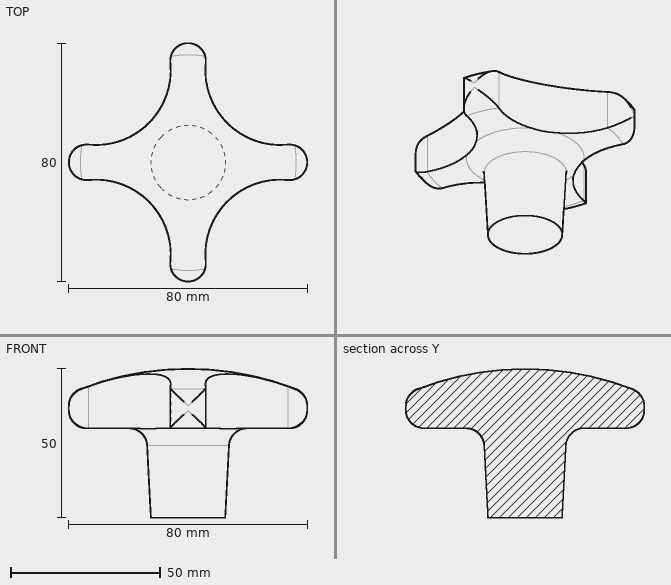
import cadquery as cq
import math

height = 50.0
grip_radius = 40.0
grip_bottom_z = 30.0
dome_radius = 100.0
rim_radius = 6.0
arm_tip_radius = 6.0
hollow_radius = 25.0
stem_foot_radius = 12.5
stem_taper = math.radians(3.0)
stem_fillet_radius = 6.0


def grip_disc():
    """Domed disc with a fully rounded rim, revolved about Z."""
    dome_center_z = height - dome_radius
    round_center_r = grip_radius - rim_radius
    lower_center_z = grip_bottom_z + rim_radius

    upper_tilt = math.asin(round_center_r / (dome_radius - rim_radius))
    upper_center_z = dome_center_z + (dome_radius - rim_radius) * math.cos(upper_tilt)
    dome_edge = (
        dome_radius * math.sin(upper_tilt),
        dome_center_z + dome_radius * math.cos(upper_tilt),
    )
    dome_middle = (
        dome_radius * math.sin(upper_tilt / 2),
        dome_center_z + dome_radius * math.cos(upper_tilt / 2),
    )
    upper_mid_angle = (upper_tilt + math.pi / 2) / 2
    upper_middle = (
        round_center_r + rim_radius * math.sin(upper_mid_angle),
        upper_center_z + rim_radius * math.cos(upper_mid_angle),
    )
    lower_middle = (
        round_center_r + rim_radius * math.sqrt(0.5),
        lower_center_z - rim_radius * math.sqrt(0.5),
    )
    return (
        cq.Workplane("XZ")
        .moveTo(0, grip_bottom_z)
        .lineTo(round_center_r, grip_bottom_z)
        .threePointArc(lower_middle, (grip_radius, lower_center_z))
        .lineTo(grip_radius, upper_center_z)
        .threePointArc(upper_middle, dome_edge)
        .threePointArc(dome_middle, (0, height))
        .close()
        .revolve(360, (0, 0, 0), (0, 1, 0))
    )


def plan_point(x, y, quarter):
    """Point of the outline turned by a number of quarter turns about Z."""
    angle = quarter * math.pi / 2
    return (
        x * math.cos(angle) - y * math.sin(angle),
        x * math.sin(angle) + y * math.cos(angle),
    )


def cross_prism():
    """Full-height four-armed prism: rounded arm ends joined by tangent hollows."""
    tip_center_x = grip_radius - arm_tip_radius

    center_distance = arm_tip_radius + hollow_radius
    hollow_center = (tip_center_x + math.sqrt(2 * center_distance**2 - tip_center_x**2)) / 2
    hollow_middle = hollow_center - hollow_radius * math.sqrt(0.5)

    touch_ratio = arm_tip_radius / center_distance
    touch_x = tip_center_x + (hollow_center - tip_center_x) * touch_ratio
    touch_y = hollow_center * touch_ratio

    outline = cq.Workplane("XY").moveTo(touch_x, -touch_y)
    for quarter in range(4):
        outline = outline.threePointArc(
            plan_point(grip_radius, 0, quarter),
            plan_point(touch_x, touch_y, quarter),
        )
        outline = outline.threePointArc(
            plan_point(hollow_middle, hollow_middle, quarter),
            plan_point(touch_y, touch_x, quarter),
        )
    return outline.close().extrude(height)


def stem():
    """Tapered stem that widens upwards and flares into the underside of the grip."""
    fillet_center_z = grip_bottom_z - stem_fillet_radius
    taper_top_z = fillet_center_z + stem_fillet_radius * math.sin(stem_taper)
    taper_top_r = stem_foot_radius + taper_top_z * math.tan(stem_taper)
    fillet_center_r = taper_top_r + stem_fillet_radius * math.cos(stem_taper)
    fillet_mid_angle = (math.pi / 2 + stem_taper) / 2
    fillet_middle = (
        fillet_center_r - stem_fillet_radius * math.cos(fillet_mid_angle),
        fillet_center_z + stem_fillet_radius * math.sin(fillet_mid_angle),
    )
    return (
        cq.Workplane("XZ")
        .lineTo(stem_foot_radius, 0)
        .lineTo(taper_top_r, taper_top_z)
        .threePointArc(fillet_middle, (fillet_center_r, grip_bottom_z))
        .lineTo(0, grip_bottom_z)
        .close()
        .revolve(360, (0, 0, 0), (0, 1, 0))
    )


result = grip_disc().union(stem()).intersect(cross_prism())